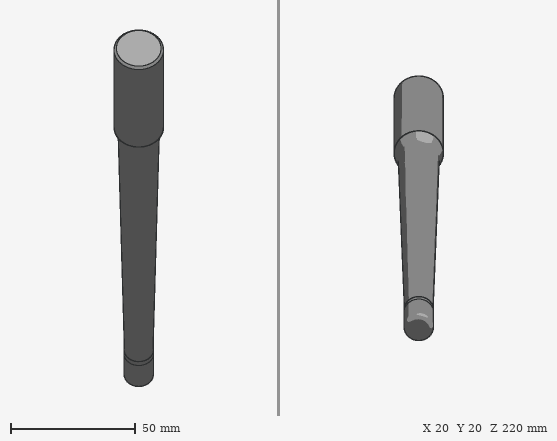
import cadquery as cq
import math

total_length = 220.0
head_length = 15.5
collar_top = 18.0
taper_start = 21.0
taper_end = 160.0
blend_top = 162.6
shank_start = 167.0

shank_radius = 10.0
head_radius = 6.0
neck_radius = 5.87
shank_chamfer = 1.0
corner_radius = 2.1

taper_angle = math.radians(1.0)
taper_end_radius = neck_radius + (taper_end - taper_start) * math.tan(taper_angle)

cone_angle = math.radians(15.0)
blend_angle = (taper_angle + cone_angle) / 2
blend_top_radius = taper_end_radius + (blend_top - taper_end) * math.tan(blend_angle)
cone_top_radius = blend_top_radius + (shank_start - blend_top) * math.tan(cone_angle)


def revolve_about_z(profile):
    """Turn a closed half profile, drawn as (radius, height), about the Z axis."""
    return profile.close().revolve(360, (0, 0, 0), (0, 1, 0))


def make_cutting_head():
    """Cylindrical head with a rounded lower corner."""
    profile = (
        cq.Workplane("XZ")
        .lineTo(head_radius - corner_radius, 0)
        .tangentArcPoint((head_radius, corner_radius), relative=False)
        .lineTo(head_radius, head_length)
        .lineTo(0, head_length)
    )
    return revolve_about_z(profile)


def make_holder():
    """Collar, relieved neck, long taper, blended cone and chamfered shank."""
    profile = (
        cq.Workplane("XZ")
        .moveTo(0, head_length)
        .lineTo(head_radius, head_length)
        .lineTo(head_radius, collar_top)
        .lineTo(neck_radius, collar_top)
        .lineTo(neck_radius, taper_start)
        .lineTo(taper_end_radius, taper_end)
        .tangentArcPoint((blend_top_radius, blend_top), relative=False)
        .lineTo(cone_top_radius, shank_start)
        .lineTo(shank_radius, shank_start)
        .lineTo(shank_radius, total_length - shank_chamfer)
        .lineTo(shank_radius - shank_chamfer, total_length)
        .lineTo(0, total_length)
    )
    return revolve_about_z(profile)


cutting_head = make_cutting_head()
holder = make_holder()
result = cq.Compound.makeCompound([cutting_head.val(), holder.val()])